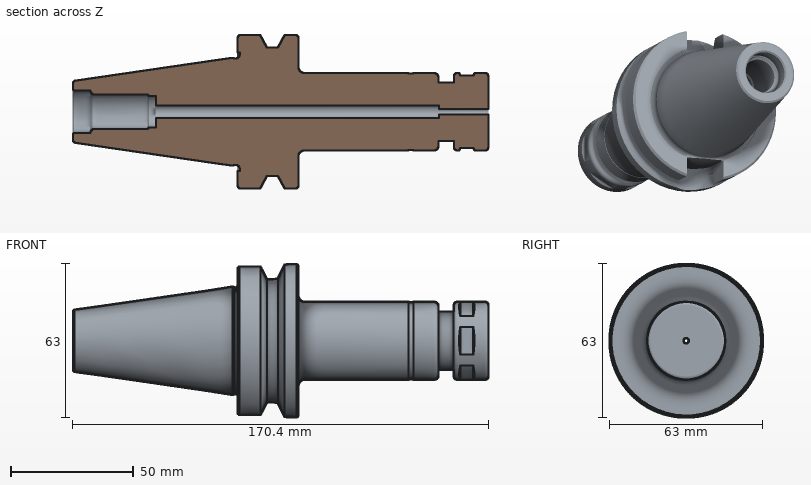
import cadquery as cq
import math

total_length = 170.4

taper_length = 65.5
gauge_dia = 44.5
taper_ratio = 7 / 24
small_dia = gauge_dia - taper_length * taper_ratio
end_chamfer = 0.7
end_face_dia = small_dia - 2 * end_chamfer
neck_dia = 43.8
neck_start = 66.3
neck_fillet = 1.7

flange_start = 67.5
flange_end = 92.5
flange_dia = 63.0
flange_chamfer = 0.9
recess_dia = 48.2
recess_depth = 0.9
recess_floor = flange_start + recess_depth
groove_floor_dia = 53.0
groove_start = 76.9
groove_floor_start = 79.5
groove_floor_end = 84.0
groove_end = 86.7

keyway_width = 16.0
keyway_end = 88.5
keyway_floor_height = 22.5

shank_dia = 32.0
shank_end = 150.0
shank_fillet = 2.4
shank_round = 2.0
relief_start = 137.5
relief_end = 139.5
relief_depth = 0.2

nut_start = 156.1
nut_dia = 32.0
nut_round = 1.5
nut_neck_dia = 24.0
pocket_count = 6
pocket_start = 158.8
pocket_end = 164.1
pocket_floor_radius = 15.0
pocket_wall_run = 0.5

mouth_dia = 18.2
pilot_dia = 17.0
pilot_depth = 7.2
thread_entry_dia = 16.0
thread_dia = 14.0
thread_depth = 30.7
bore_floor_dia = 12.8
bore_depth = 34.0
coolant_dia = 5.0
coolant_depth = shank_end
through_dia = 2.0


def revolve_about_x(profile):
    return profile.close().revolve(360, (0, 0, 0), (1, 0, 0))


def add_quarter_arc(profile, center_x, center_r, radius, middle_angle, end_angle):
    """Arc from the current point about (center_x, center_r); angles are in degrees from +X."""
    points = [
        (center_x + radius * math.cos(angle), center_r + radius * math.sin(angle))
        for angle in (math.radians(middle_angle), math.radians(end_angle))
    ]
    return profile.threePointArc(*points)


def make_body():
    neck_r = neck_dia / 2
    flange_r = flange_dia / 2
    shank_r = shank_dia / 2
    nut_r = nut_dia / 2
    profile = (
        cq.Workplane("XY")
        .moveTo(0, 0)
        .lineTo(0, end_face_dia / 2)
        .lineTo(end_chamfer, small_dia / 2 + end_chamfer * taper_ratio / 2)
        .lineTo(taper_length, gauge_dia / 2)
        .lineTo(neck_start, neck_r)
        .lineTo(recess_floor - neck_fillet, neck_r)
    )
    profile = add_quarter_arc(
        profile, recess_floor - neck_fillet, neck_r + neck_fillet, neck_fillet, -45, 0,
    )
    profile = (
        profile
        .lineTo(recess_floor, recess_dia / 2)
        .lineTo(flange_start, recess_dia / 2)
        .lineTo(flange_start, flange_r - flange_chamfer)
        .lineTo(flange_start + flange_chamfer, flange_r)
        .lineTo(groove_start, flange_r)
        .lineTo(groove_floor_start, groove_floor_dia / 2)
        .lineTo(groove_floor_end, groove_floor_dia / 2)
        .lineTo(groove_end, flange_r)
        .lineTo(flange_end - flange_chamfer, flange_r)
        .lineTo(flange_end, flange_r - flange_chamfer)
        .lineTo(flange_end, shank_r + shank_fillet)
    )
    profile = add_quarter_arc(
        profile, flange_end + shank_fillet, shank_r + shank_fillet, shank_fillet, 225, 270,
    )
    profile = (
        profile
        .lineTo(relief_start, shank_r)
        .lineTo(relief_start, shank_r - relief_depth)
        .lineTo(relief_end, shank_r - relief_depth)
        .lineTo(relief_end, shank_r)
        .lineTo(shank_end - shank_round, shank_r)
    )
    profile = add_quarter_arc(
        profile, shank_end - shank_round, shank_r - shank_round, shank_round, 45, 0,
    )
    profile = (
        profile
        .lineTo(shank_end, nut_neck_dia / 2)
        .lineTo(nut_start, nut_neck_dia / 2)
        .lineTo(nut_start, nut_r - nut_round)
    )
    profile = add_quarter_arc(
        profile, nut_start + nut_round, nut_r - nut_round, nut_round, 135, 90,
    )
    profile = profile.lineTo(total_length - nut_round, nut_r)
    profile = add_quarter_arc(
        profile, total_length - nut_round, nut_r - nut_round, nut_round, 45, 0,
    )
    return revolve_about_x(profile.lineTo(total_length, 0))


def make_bore():
    """Pilot, threaded hole and coolant passage, all opening from the taper end."""
    mouth_chamfer = (mouth_dia - pilot_dia) / 2
    thread_chamfer = (thread_entry_dia - thread_dia) / 2
    floor_chamfer = (thread_dia - bore_floor_dia) / 2
    return revolve_about_x(
        cq.Workplane("XY")
        .moveTo(0, 0)
        .lineTo(0, mouth_dia / 2)
        .lineTo(mouth_chamfer, pilot_dia / 2)
        .lineTo(pilot_depth, pilot_dia / 2)
        .lineTo(pilot_depth, thread_entry_dia / 2)
        .lineTo(pilot_depth + thread_chamfer, thread_dia / 2)
        .lineTo(thread_depth, thread_dia / 2)
        .lineTo(thread_depth + floor_chamfer, bore_floor_dia / 2)
        .lineTo(bore_depth, bore_floor_dia / 2)
        .lineTo(bore_depth, coolant_dia / 2)
        .lineTo(coolant_depth, coolant_dia / 2)
        .lineTo(coolant_depth, through_dia / 2)
        .lineTo(total_length, through_dia / 2)
        .lineTo(total_length, 0)
    )


def make_keyway():
    """Slot above the axis, open toward the taper and round at its far end."""
    half_width = keyway_width / 2
    return (
        cq.Workplane("XY", origin=(0, 0, keyway_floor_height))
        .moveTo(taper_length, -half_width)
        .lineTo(keyway_end - half_width, -half_width)
        .threePointArc((keyway_end, 0), (keyway_end - half_width, half_width))
        .lineTo(taper_length, half_width)
        .close()
        .extrude(flange_dia / 2)
    )


def make_wrench_pocket():
    """Flat-bottomed pocket on the +Y side of the nut with sloped end walls."""
    wall_height = nut_dia / 2 - pocket_floor_radius
    return (
        cq.Workplane("XY")
        .moveTo(pocket_start, pocket_floor_radius)
        .lineTo(pocket_start - pocket_wall_run, pocket_floor_radius + wall_height)
        .lineTo(pocket_end + pocket_wall_run, pocket_floor_radius + wall_height)
        .lineTo(pocket_end, pocket_floor_radius)
        .close()
        .extrude(nut_dia / 2, both=True)
    )


result = make_body().cut(make_bore())

keyway = make_keyway()
for angle in (0, 180):
    result = result.cut(keyway.rotate((0, 0, 0), (1, 0, 0), angle))

pocket = make_wrench_pocket()
for index in range(pocket_count):
    angle = index * 360 / pocket_count
    result = result.cut(pocket.rotate((0, 0, 0), (1, 0, 0), angle))